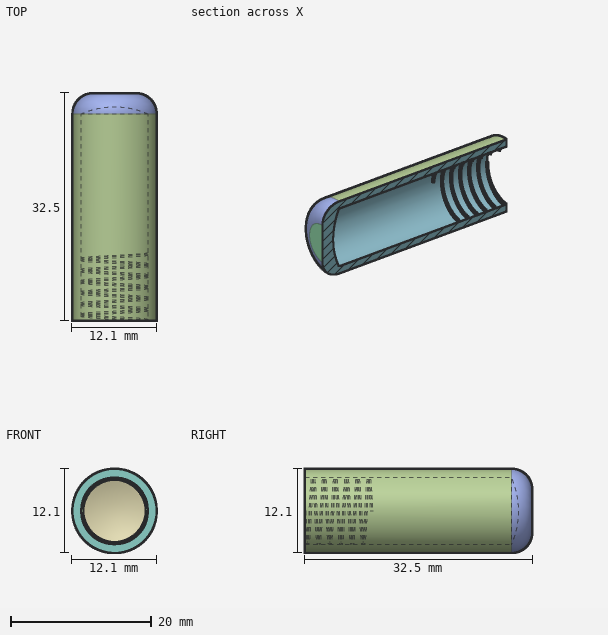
import cadquery as cq
import math

length = 32.5
outer_diameter = 12.1
crown_radius = 3.0

bore_diameter = 9.52
bore_dome_height = 1.0

thread_pitch = 1.6
thread_turns = 6
thread_height = 0.31
thread_angle = 60.0

outer_radius = outer_diameter / 2
bore_radius = bore_diameter / 2
crown_start = length - crown_radius
thread_half_base = thread_height * math.tan(math.radians(thread_angle / 2))


def make_cap():
    """Round-ended sleeve along Y with a dome-bottomed blind bore."""
    crown_flat_radius = outer_radius - crown_radius
    crown_diagonal = crown_radius * math.sqrt(0.5)
    crown_mid = (crown_flat_radius + crown_diagonal, crown_start + crown_diagonal)

    dome_radius = (bore_radius**2 + bore_dome_height**2) / (2 * bore_dome_height)
    bore_depth = crown_start + bore_dome_height
    dome_centre = bore_depth - dome_radius
    dome_mid_radius = bore_radius / 2
    dome_mid = (dome_mid_radius, dome_centre + math.sqrt(dome_radius**2 - dome_mid_radius**2))

    half_section = (
        cq.Workplane("XY")
        .moveTo(bore_radius, 0)
        .lineTo(outer_radius, 0)
        .lineTo(outer_radius, crown_start)
        .threePointArc(crown_mid, (crown_flat_radius, length))
        .lineTo(0, length)
        .lineTo(0, bore_depth)
        .threePointArc(dome_mid, (bore_radius, crown_start))
        .close()
    )
    return half_section.revolve(360, (0, 0, 0), (0, 1, 0))


def make_thread():
    """Triangular rib wound on the bore wall and trimmed flush with the open end."""
    path = cq.Wire.makeHelix(thread_pitch, thread_pitch * thread_turns, bore_radius)
    profile = (
        cq.Workplane("XZ")
        .moveTo(bore_radius, -thread_half_base)
        .lineTo(bore_radius - thread_height, 0)
        .lineTo(bore_radius, thread_half_base)
        .close()
    )
    rib = profile.sweep(cq.Workplane(path), isFrenet=True)

    cap_envelope = cq.Workplane("XY").circle(outer_radius).extrude(length)
    return rib.intersect(cap_envelope).rotate((0, 0, 0), (1, 0, 0), -90)


cap = make_cap()
thread = make_thread()

result = cq.Compound.makeCompound([cap.val(), *thread.solids().vals()])